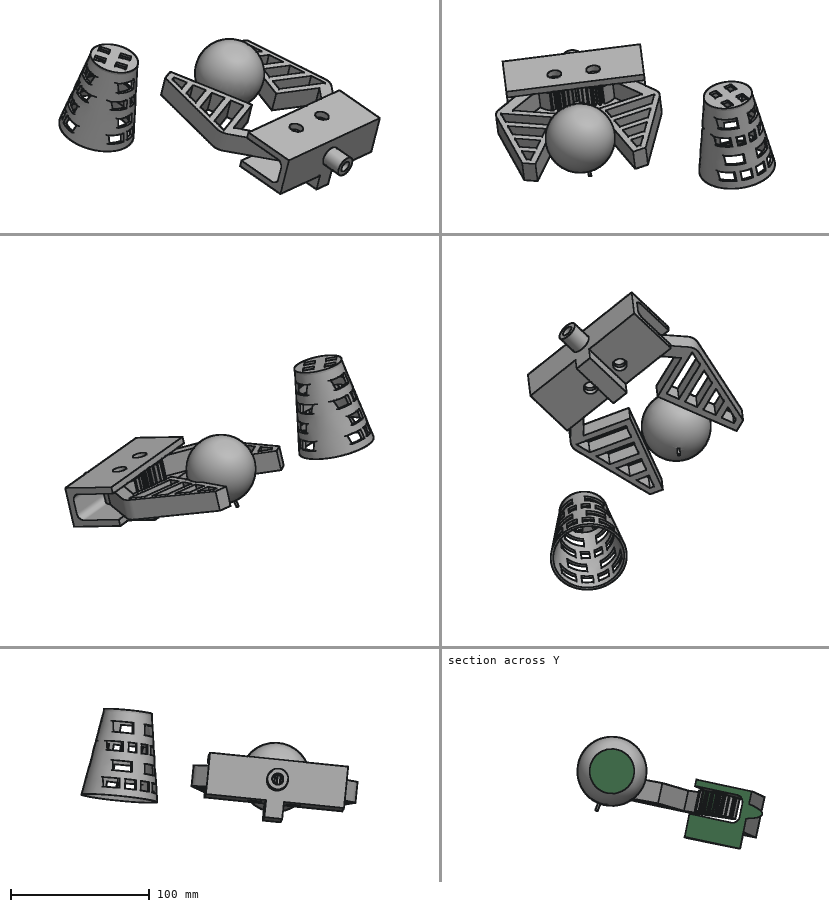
import cadquery as cq
import math


HOUSING_DEPTH = 40.0
HOUSING_WIDTH = 100.0
HOUSING_HEIGHT = 30.0
WALL = 5.0
CHANNEL_FILLET = 5.0
TONGUE_WIDTH = 13.0
TONGUE_HEIGHT = 12.3
TUBE_DIAMETER = 15.0
TUBE_BORE = 8.0
TUBE_LENGTH = 15.0

PIVOT_DIAMETER = 10.0
PIVOT_FROM_FRONT = 15.0
GEAR_PITCH_RADIUS = 14.0
GEAR_TIP_RADIUS = 15.0
GEAR_TEETH = 22
TOOTH_BACKLASH = 0.4
PRESSURE_ANGLE = 20
DEDENDUM_FACTOR = 1.25

FINGER_THICKNESS = 15.0
FINGER_LIFT = 1.0
FINGER_ANGLE = 20
GRIP_LENGTH = 65.0
TIP_HEIGHT = 10.0
OUTER_SLOPE = 32.6
ARM_SLOPE = 21.8
ARM_START = 36.0
ARM_WIDTH = 9.5
ELBOW_RADIUS = 10.0
PIVOT_ALONG_GRIP = 104.8
PIVOT_ABOVE_GRIP = 15.5

SLOT_COUNT = 4
SLOT_WIDTH = 10.0
SLOT_PITCH = 15.0
RAIL = 5.0

BALL_RADIUS = 25.0
BALL_CENTRE = cq.Vector(-83.2, 1.2, 8.9)
BALL_UP = cq.Vector(0.14, 0.12, 0.98)
BALL_POLE = cq.Vector(-0.4, -0.9, 0.15)
STEM_DIAMETER = 2.0
STEM_LENGTH = 5.8
STEM_DEPTH = 3.9

BASKET_X = -109.5
BASKET_Y = -108.3
BASKET_BASE = -15.8
BASKET_TURN = 28
BASKET_HEIGHT = 63.0
BASKET_BASE_RADIUS = 27.5
BASKET_TOP_RADIUS = 17.5
BASKET_WALL = 2.0
LID_THICKNESS = 2.0

WINDOW_ROWS = [
    (5.8, 7.0, [(2.0, 10.0), (13.7, 22.3)]),
    (18.3, 7.3, [(5.2, 17.5)]),
    (32.8, 6.7, [(2.0, 7.9), (11.5, 19.7)]),
    (46.2, 7.9, [(4.6, 16.5)]),
]
LID_HOLE_LENGTH = 7.9
LID_HOLE_WIDTH = 5.4
LID_HOLE_PITCH_X = 16.0
LID_HOLE_PITCH_Y = 12.7
LID_HOLE_SHIFT = -1.3

TILT_X = -5.3
TILT_Y = 11.2
TILT_Z = -12.8

PIVOT_X = PIVOT_FROM_FRONT - HOUSING_DEPTH / 2
GEAR_MODULE = 2 * GEAR_PITCH_RADIUS / GEAR_TEETH
GEAR_ROOT_RADIUS = GEAR_PITCH_RADIUS - DEDENDUM_FACTOR * GEAR_MODULE


def polar(radius, degrees):
    angle = math.radians(degrees)
    return radius * math.cos(angle), radius * math.sin(angle)


def make_housing():
    body = cq.Workplane("XY").box(HOUSING_DEPTH, HOUSING_WIDTH, HOUSING_HEIGHT)
    channel = (
        cq.Workplane("XY")
        .box(HOUSING_DEPTH, HOUSING_WIDTH, HOUSING_HEIGHT - 2 * WALL)
        .edges("|Y and >X")
        .fillet(CHANNEL_FILLET)
        .translate((-WALL, 0, 0))
    )
    tongue = cq.Workplane("XY").box(HOUSING_DEPTH, TONGUE_WIDTH, TONGUE_HEIGHT)
    tongue = tongue.translate((0, 0, -(HOUSING_HEIGHT + TONGUE_HEIGHT) / 2))
    back = cq.Workplane("YZ", origin=(HOUSING_DEPTH / 2 - WALL, 0, 0))
    tube = back.circle(TUBE_DIAMETER / 2).extrude(WALL + TUBE_LENGTH)
    bore = back.circle(TUBE_BORE / 2).extrude(WALL + TUBE_LENGTH)
    pivot_holes = (
        cq.Workplane("XY", origin=(PIVOT_X, 0, -HOUSING_HEIGHT / 2))
        .pushPoints([(0, GEAR_PITCH_RADIUS), (0, -GEAR_PITCH_RADIUS)])
        .circle(PIVOT_DIAMETER / 2)
        .extrude(HOUSING_HEIGHT)
    )
    return body.cut(channel).union(tongue).union(tube).cut(bore).cut(pivot_holes)


def outer_edge(along):
    """Height of the sloping outer edge of the lattice above the grip face."""
    return TIP_HEIGHT + along * math.tan(math.radians(OUTER_SLOPE))


def make_lattice_and_arm():
    """Slotted gripping plate and the arm that joins it to the pivot, with the pivot at the origin."""
    arm_fall = math.tan(math.radians(ARM_SLOPE))
    outer_rise = math.tan(math.radians(OUTER_SLOPE))
    arm_top = ARM_START + ARM_WIDTH / math.cos(math.radians(ARM_SLOPE))
    elbow_x = (arm_top + arm_fall * GRIP_LENGTH - TIP_HEIGHT) / (outer_rise + arm_fall)
    arm_run = PIVOT_ALONG_GRIP - GRIP_LENGTH
    plate = (
        cq.Workplane("XY")
        .polyline(
            [
                (0, 0),
                (GRIP_LENGTH, 0),
                (GRIP_LENGTH, ARM_START),
                (PIVOT_ALONG_GRIP, ARM_START - arm_fall * arm_run),
                (PIVOT_ALONG_GRIP, arm_top - arm_fall * arm_run),
                (elbow_x, outer_edge(elbow_x)),
                (0, TIP_HEIGHT),
            ]
        )
        .close()
        .extrude(FINGER_THICKNESS)
    )
    elbow = cq.selectors.NearestToPointSelector((elbow_x, outer_edge(elbow_x), FINGER_THICKNESS / 2))
    plate = plate.edges("|Z").edges(elbow).fillet(ELBOW_RADIUS)
    for index in range(SLOT_COUNT):
        left = RAIL + index * SLOT_PITCH
        right = left + SLOT_WIDTH
        slot = (
            cq.Workplane("XY")
            .polyline(
                [
                    (left, RAIL),
                    (right, RAIL),
                    (right, outer_edge(right) - RAIL),
                    (left, outer_edge(left) - RAIL),
                ]
            )
            .close()
            .extrude(FINGER_THICKNESS)
        )
        plate = plate.cut(slot)
    plate = plate.translate((-PIVOT_ALONG_GRIP, -PIVOT_ABOVE_GRIP, 0))
    return plate.rotate((0, 0, 0), (0, 0, 1), -FINGER_ANGLE)


def make_gear(phase):
    """Hub that is smooth on its outer half and toothed on the half facing the other finger."""
    pitch = 360 / GEAR_TEETH
    flank = math.tan(math.radians(PRESSURE_ANGLE))
    half_tooth = math.pi * GEAR_MODULE / 4 - TOOTH_BACKLASH / 2

    def half_angle(radius):
        width = half_tooth - (radius - GEAR_PITCH_RADIUS) * flank
        return math.degrees(width / radius)

    outline = []
    for index in range(GEAR_TEETH):
        middle = index * pitch + phase
        outline.append(polar(GEAR_ROOT_RADIUS, middle - half_angle(GEAR_ROOT_RADIUS)))
        outline.append(polar(GEAR_TIP_RADIUS, middle - half_angle(GEAR_TIP_RADIUS)))
        outline.append(polar(GEAR_TIP_RADIUS, middle + half_angle(GEAR_TIP_RADIUS)))
        outline.append(polar(GEAR_ROOT_RADIUS, middle + half_angle(GEAR_ROOT_RADIUS)))
    toothed = cq.Workplane("XY").polyline(outline).close().extrude(FINGER_THICKNESS)
    smooth_half = (
        cq.Workplane("XY")
        .moveTo(-GEAR_TIP_RADIUS, 0)
        .threePointArc((0, GEAR_TIP_RADIUS), (GEAR_TIP_RADIUS, 0))
        .close()
        .extrude(FINGER_THICKNESS)
        .rotate((0, 0, 0), (0, 0, 1), -FINGER_ANGLE)
    )
    return toothed.union(smooth_half)


def make_finger(side):
    """Finger on the +Y side (side 1) or -Y side (side -1); one has a tooth where the other has a gap."""
    phase = -90
    if side > 0:
        phase += 180 / GEAR_TEETH
    finger = make_lattice_and_arm().union(make_gear(phase))
    finger = finger.cut(cq.Workplane("XY").circle(PIVOT_DIAMETER / 2).extrude(FINGER_THICKNESS))
    finger = finger.translate((PIVOT_X, GEAR_PITCH_RADIUS, FINGER_LIFT - FINGER_THICKNESS / 2))
    return finger if side > 0 else finger.mirror("XZ")


def make_stem():
    foot = BALL_CENTRE - BALL_UP.normalized() * (BALL_RADIUS - STEM_DEPTH)
    plane = cq.Plane(origin=foot, normal=-BALL_UP)
    return cq.Workplane(plane).circle(STEM_DIAMETER / 2).extrude(STEM_DEPTH + STEM_LENGTH)


def make_ball():
    plane = cq.Plane(origin=BALL_CENTRE, xDir=BALL_UP.cross(BALL_POLE), normal=BALL_POLE)
    return cq.Workplane(plane).sphere(BALL_RADIUS)


def make_basket():
    cone_height = BASKET_HEIGHT - LID_THICKNESS
    shell = (
        cq.Workplane("XZ")
        .polyline(
            [
                (BASKET_BASE_RADIUS - BASKET_WALL, 0),
                (BASKET_BASE_RADIUS, 0),
                (BASKET_TOP_RADIUS, cone_height),
                (BASKET_TOP_RADIUS, BASKET_HEIGHT),
                (0, BASKET_HEIGHT),
                (0, cone_height),
                (BASKET_TOP_RADIUS - BASKET_WALL, cone_height),
            ]
        )
        .close()
        .revolve(360, (0, 0), (0, 1))
    )
    for bottom, height, windows in WINDOW_ROWS:
        for near, far in windows:
            for side in (1, -1):
                window = cq.Workplane("XY").box(2 * BASKET_BASE_RADIUS, far - near, height)
                shell = shell.cut(window.translate((0, side * (near + far) / 2, bottom + height / 2)))
    lid_holes = (
        cq.Workplane("XY", origin=(LID_HOLE_SHIFT, 0, cone_height))
        .rarray(LID_HOLE_PITCH_X, LID_HOLE_PITCH_Y, 2, 2)
        .rect(LID_HOLE_LENGTH, LID_HOLE_WIDTH)
        .extrude(LID_THICKNESS)
    )
    shell = shell.cut(lid_holes).rotate((0, 0, 0), (0, 0, 1), BASKET_TURN)
    return shell.translate((BASKET_X, BASKET_Y, BASKET_BASE))


def tilt(solid):
    for axis, angle in (((1, 0, 0), TILT_X), ((0, 1, 0), TILT_Y), ((0, 0, 1), TILT_Z)):
        solid = solid.rotate((0, 0, 0), axis, angle)
    return solid


housing = make_housing()
whole_ball = make_ball()
stem = make_stem()
basket = make_basket()

fingers = [make_finger(side).cut(whole_ball) for side in (1, -1)]
ball = whole_ball.cut(stem)

bodies = [housing, *fingers, ball, stem, basket]
result = cq.Compound.makeCompound([tilt(body.solids().val()) for body in bodies])